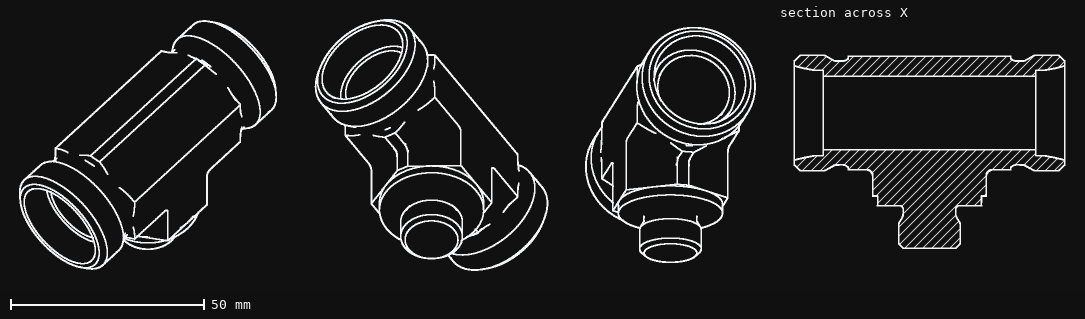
import cadquery as cq
import math

run_length = 70.0
collar_diameter = 30.0
neck_diameter = 27.0
collar_length = 7.9
hex_end_offset = 14.0
neck_to_hex_fillet = 1.2

across_flats = 27.0
corner_reach = 14.7
seam_fillet = 1.7

bore_diameter = 19.0
socket_diameter = 22.0
cone_mouth_diameter = 24.3
cone_half_angle = 12.0
socket_depth = 7.5

branch_reach = 35.0
branch_hex_end = 21.5
flange_diameter = 27.0
flange_end = 24.0
stud_diameter = 16.0
stud_neck_diameter = 13.7
stud_neck_length = 2.5

undercut_angle = 30.0
undercut_fillet = 1.0

pick_margin = 0.05
profile_axis = ((0, 0), (0, 1))

half_run = run_length / 2
hex_end = half_run - hex_end_offset
flat_distance = across_flats / 2
neck_radius = neck_diameter / 2
hex_half_angle = math.radians(180 / 6)
corner_radius = flat_distance / math.cos(hex_half_angle)
side_corner = corner_radius * math.sin(hex_half_angle)


def undercut_length(large_radius, small_radius):
    """Axial length of the undercut cone between two radii."""
    return (large_radius - small_radius) / math.tan(math.radians(undercut_angle))


def trimmed_hexagon(workplane, length):
    """Hexagonal prism with flats on +-X and its two other corners trimmed."""
    trim_half_width = (corner_radius - corner_reach) / math.tan(hex_half_angle)
    right_half = [
        (trim_half_width, corner_reach),
        (flat_distance, side_corner),
        (flat_distance, -side_corner),
        (trim_half_width, -corner_reach),
    ]
    left_half = [(-x, y) for x, y in reversed(right_half)]
    return workplane.polyline(right_half + left_half).close().extrude(length)


def make_hex_body():
    """Run and branch hexagons with a rounded seam, turned down at the run ends."""
    half_length = hex_end + neck_to_hex_fillet
    run_hex = trimmed_hexagon(cq.Workplane("XZ", origin=(0, half_length, 0)), 2 * half_length)
    branch_hex = trimmed_hexagon(cq.Workplane("XY", origin=(0, 0, -branch_hex_end)), branch_hex_end)
    body = run_hex.union(branch_hex)
    reach = flat_distance + pick_margin
    low = side_corner - pick_margin
    high = corner_reach + pick_margin
    for side in (-1, 1):
        near, far = sorted((side * low, side * high))
        seam_box = cq.selectors.BoxSelector((-reach, near, -high), (reach, far, -low), boundingbox=True)
        body = body.edges(seam_box).fillet(seam_fillet)
    for side in (-1, 1):
        body = body.cut(make_end_relief(side, half_length))
    return body


def make_end_relief(side, half_length):
    """Ring that turns a hexagon end down to the neck with a concave fillet."""
    arc_middle = neck_to_hex_fillet * math.sqrt(0.5)
    fillet_radius = neck_radius + neck_to_hex_fillet
    outer = corner_radius + neck_to_hex_fillet
    return (
        cq.Workplane("XY")
        .moveTo(neck_radius, side * half_length)
        .threePointArc(
            (fillet_radius - arc_middle, side * (half_length - arc_middle)),
            (fillet_radius, side * hex_end),
        )
        .lineTo(outer, side * hex_end)
        .lineTo(outer, side * half_length)
        .close()
        .revolve(360, *profile_axis)
    )


def make_run_end(side):
    """Neck, undercut cone and chamfered collar at one end of the run."""
    collar_radius = collar_diameter / 2
    chamfer = collar_radius - neck_radius
    collar_start = half_run - collar_length
    cone_start = collar_start - undercut_length(collar_radius, neck_radius)
    end = (
        cq.Workplane("XY")
        .moveTo(0, 0)
        .lineTo(neck_radius, 0)
        .lineTo(neck_radius, side * cone_start)
        .lineTo(collar_radius, side * collar_start)
        .lineTo(collar_radius, side * (half_run - chamfer))
        .lineTo(neck_radius, side * half_run)
        .lineTo(0, side * half_run)
        .close()
        .revolve(360, *profile_axis)
    )
    cone_root = cq.selectors.BoxSelector(
        (-collar_radius, side * cone_start - pick_margin, -collar_radius),
        (collar_radius, side * cone_start + pick_margin, collar_radius),
        boundingbox=True,
    )
    return end.edges(cone_root).fillet(undercut_fillet)


def make_stud():
    """Sealing flange and undercut, chamfered stud below the branch hexagon."""
    stud_radius = stud_diameter / 2
    stud_neck_radius = stud_neck_diameter / 2
    chamfer = stud_radius - stud_neck_radius
    cone_start = flange_end + stud_neck_length
    cone_end = cone_start + undercut_length(stud_radius, stud_neck_radius)
    stud = (
        cq.Workplane("XZ")
        .moveTo(0, -branch_hex_end)
        .lineTo(flange_diameter / 2, -branch_hex_end)
        .lineTo(flange_diameter / 2, -flange_end)
        .lineTo(stud_neck_radius, -flange_end)
        .lineTo(stud_neck_radius, -cone_start)
        .lineTo(stud_radius, -cone_end)
        .lineTo(stud_radius, -(branch_reach - chamfer))
        .lineTo(stud_neck_radius, -branch_reach)
        .lineTo(0, -branch_reach)
        .close()
        .revolve(360, *profile_axis)
    )
    neck_edges = cq.selectors.BoxSelector(
        (-stud_radius, -stud_radius, -cone_start - pick_margin),
        (stud_radius, stud_radius, -flange_end + pick_margin),
        boundingbox=True,
    )
    return stud.edges(neck_edges).fillet(undercut_fillet)


def make_bore():
    """Through bore of the run with a socket and a tube cone at each end."""
    bore_radius = bore_diameter / 2
    socket_radius = socket_diameter / 2
    mouth_radius = cone_mouth_diameter / 2
    cone_length = (mouth_radius - socket_radius) / math.tan(math.radians(cone_half_angle))
    profile = [
        (0, half_run),
        (mouth_radius, half_run),
        (socket_radius, half_run - cone_length),
        (socket_radius, half_run - socket_depth),
        (bore_radius, half_run - socket_depth),
    ]
    mirrored = [(x, -y) for x, y in reversed(profile)]
    return cq.Workplane("XY").polyline(profile + mirrored).close().revolve(360, *profile_axis)


result = make_hex_body().union(make_stud())
for run_side in (-1, 1):
    result = result.union(make_run_end(run_side))
result = result.cut(make_bore())